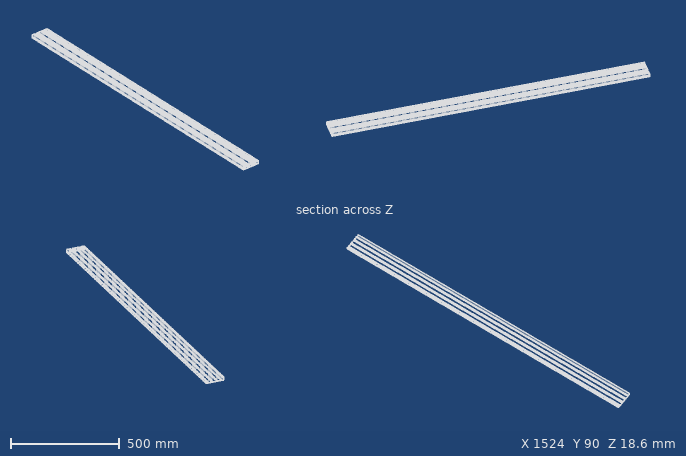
import cadquery as cq

length = 1524.0
width = 90.0
wall = 1.8
chamber_height = 15.0
height = chamber_height + 2 * wall
corner_radius = 2.7
side_groove_width = 3.0
side_groove_depth = 0.8
top = height / 2

slot_spacing = 45.0
slot_opening = 8.0
lip_thickness = 3.8
slot_floor = 3.4
cavity_width = 14.0

side_chamber_step = 3.0
side_chamber_inner_height = height - 2 * lip_thickness
inner_chamber_width = 5.0
core_width = 14.3
core_height = height - 2 * lip_thickness


def bar(y, z, bar_width, bar_height):
    """Rectangular bar centred at (y, z), running the full length."""
    sketch = cq.Workplane("YZ").center(y, z).rect(bar_width, bar_height)
    return sketch.extrude(length / 2, both=True)


def t_slot(y):
    """Narrow mouth in the top face over a wider cavity."""
    cavity_height = height - lip_thickness - slot_floor
    cavity_z = (slot_floor - lip_thickness) / 2
    mouth = bar(y, top - lip_thickness / 2, slot_opening, lip_thickness)
    return mouth.union(bar(y, cavity_z, cavity_width, cavity_height))


def side_chamber(side):
    """Hollow along the outer wall, tall outside and lower beside the slot."""
    outer_y = width / 2 - wall
    inner_y = slot_spacing / 2 + cavity_width / 2 + wall
    step_y = inner_y + side_chamber_step
    tall = bar(side * (outer_y + step_y) / 2, 0, outer_y - step_y, chamber_height)
    low = bar(side * (outer_y + inner_y) / 2, 0, outer_y - inner_y, side_chamber_inner_height)
    hollow = tall.union(low)
    outer_face = ">Y" if side > 0 else "<Y"
    return hollow.faces(outer_face).edges("|X").fillet(corner_radius - wall)


def side_groove(side):
    """Shallow V-groove along the middle of a narrow side."""
    face_y = side * width / 2
    root_y = side * (width / 2 - side_groove_depth)
    points = [(face_y, -side_groove_width / 2), (root_y, 0), (face_y, side_groove_width / 2)]
    return cq.Workplane("YZ").polyline(points).close().extrude(length / 2, both=True)


result = bar(0, 0, width, height).edges("|X").fillet(corner_radius)

inner_chamber_y = core_width / 2 + wall + inner_chamber_width / 2

for side in (-1, 1):
    result = result.cut(t_slot(side * slot_spacing / 2))
    result = result.cut(side_chamber(side))
    result = result.cut(side_groove(side))
    result = result.cut(bar(side * inner_chamber_y, 0, inner_chamber_width, chamber_height))

result = result.cut(bar(0, 0, core_width, core_height))